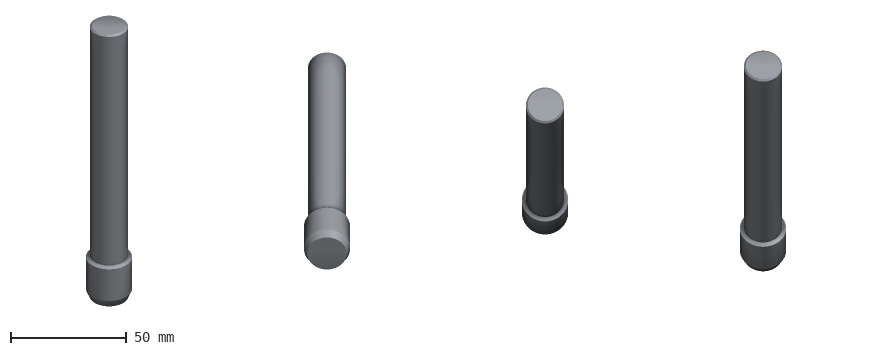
import cadquery as cq

TOTAL_LENGTH = 140.0
SHANK_DIAMETER = 16.5
TOP_CHAMFER_WIDTH = 0.8
TOP_CHAMFER_HEIGHT = 0.7
FOOT_DIAMETER = 20.0
FOOT_LENGTH = 21.0
SHOULDER_BEVEL_HEIGHT = 0.8
LEAD_IN_HEIGHT = 3.8
LEAD_IN_WIDTH = 1.5

PLUG_DIAMETER = 4.6
PLUG_CENTER_HEIGHT = 98.8
PLUG_DEPTH = 1.4

SHANK_RADIUS = SHANK_DIAMETER / 2
FOOT_RADIUS = FOOT_DIAMETER / 2


def make_post_blank():
    """Solid post, turned about the Z axis from a (radius, height) outline."""
    profile = [
        (0, 0),
        (FOOT_RADIUS - LEAD_IN_WIDTH, 0),
        (FOOT_RADIUS, LEAD_IN_HEIGHT),
        (FOOT_RADIUS, FOOT_LENGTH - SHOULDER_BEVEL_HEIGHT),
        (SHANK_RADIUS, FOOT_LENGTH),
        (SHANK_RADIUS, TOTAL_LENGTH - TOP_CHAMFER_HEIGHT),
        (SHANK_RADIUS - TOP_CHAMFER_WIDTH, TOTAL_LENGTH),
        (0, TOTAL_LENGTH),
    ]
    return cq.Workplane("XZ").polyline(profile).close().revolve(360, (0, 0), (0, 1))


def make_plug_cylinder():
    """Cylinder along +Y, from the floor of the plug's recess to the shank's outermost line."""
    floor_center = cq.Vector(0, SHANK_RADIUS - PLUG_DEPTH, PLUG_CENTER_HEIGHT)
    outward = cq.Vector(0, 1, 0)
    cylinder = cq.Solid.makeCylinder(PLUG_DIAMETER / 2, PLUG_DEPTH, floor_center, outward)
    return cq.Workplane(cylinder)


post_blank = make_post_blank()

plug = make_plug_cylinder().intersect(post_blank)
post = post_blank.cut(make_plug_cylinder())

result = cq.Compound.makeCompound([post.val(), plug.val()])